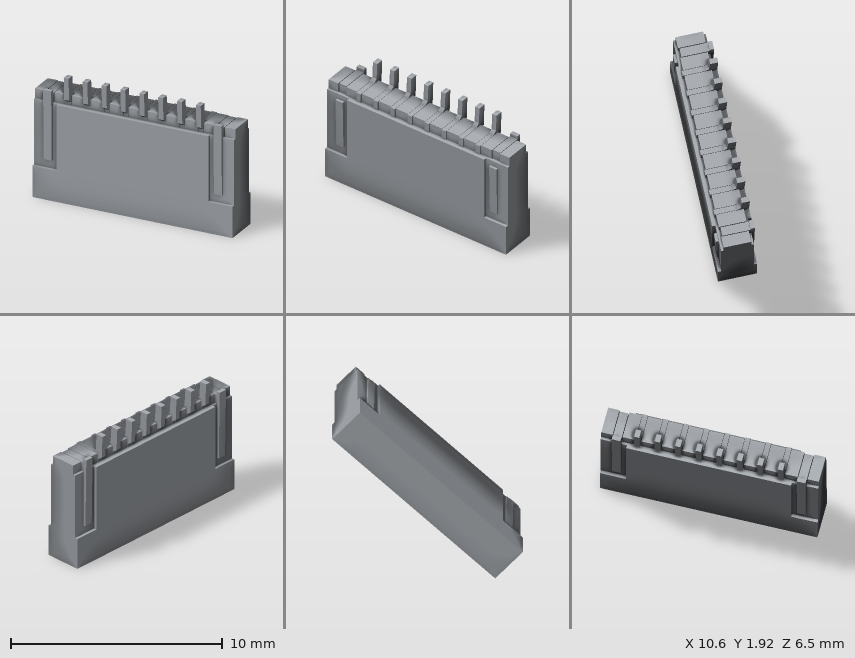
import cadquery as cq


length = 10.6
depth = 1.9
shoulder_height = 5.0
top_height = 5.5
top_front = 0.29
top_back = 1.62
pocket_width = 1.28
pocket_depth = 0.16
pocket_floor = 1.62

contact_count = 8
contact_row_span = 7.0
contact_pitch = contact_row_span / (contact_count - 1)
contact_width = 0.25
contact_slot_width = 0.29
contact_back = 1.7
contact_tip_height = 6.5
contact_tip_thickness = 0.39
contact_lean = 0.05
neck_top = 5.17
bend_rise = 0.17
bend_run = 0.18

clip_offset = 4.5
clip_width = 0.42
clip_slot_width = 0.49
clip_top = 5.66
clip_bottom = 2.06
clip_bar_front = 0.19
clip_bar_back = 1.56
clip_back_top = 4.71
clip_back_reach = 1.88
clip_taper = 0.06

front_overhang = 0.02


def box(x_center, width, y_range, z_range):
    """Block centred on x_center, spanning the given Y and Z ranges."""
    y_min, y_max = y_range
    z_min, z_max = z_range
    block = cq.Workplane("XY").box(width, y_max - y_min, z_max - z_min, centered=(True, False, False))
    return block.translate((x_center, y_min, z_min))


def side_profile(x_center, width, points):
    """Prism with a (Y, Z) outline, centred on x_center."""
    prism = cq.Workplane("YZ").polyline(points).close().extrude(width / 2, both=True)
    return prism.translate((x_center, 0, 0))


def housing():
    body = box(0, length, (0, depth), (0, shoulder_height))
    body = body.union(box(0, length, (top_front, top_back), (shoulder_height, top_height)))
    pocket_x = (length - pocket_width) / 2
    pocket_z = (pocket_floor, shoulder_height)
    for x in (-pocket_x, pocket_x):
        body = body.cut(box(x, pocket_width, (0, pocket_depth), pocket_z))
        body = body.cut(box(x, pocket_width, (depth - pocket_depth, depth), pocket_z))
    return body


def top_slot(x_center, width):
    return box(x_center, width, (top_front, top_back), (shoulder_height, top_height))


def contact(x_center):
    tip_front = -front_overhang
    tip_back = tip_front + contact_tip_thickness
    tail_front = tip_front + contact_lean
    tail_back = tip_back + contact_lean
    outline = [
        (top_front, shoulder_height),
        (top_front, neck_top),
        (tail_front, neck_top + bend_rise),
        (tip_front, contact_tip_height),
        (tip_back, contact_tip_height),
        (tail_back, top_height + bend_rise),
        (tail_back + bend_run, top_height),
        (contact_back, top_height),
        (contact_back, shoulder_height),
    ]
    return side_profile(x_center, contact_width, outline)


def clip(x_center):
    front_face = -front_overhang
    front_leg = [
        (front_face, clip_top),
        (clip_bar_front, clip_top),
        (clip_bar_front, clip_bottom),
        (front_face + clip_taper, clip_bottom),
    ]
    back_wall = depth - pocket_depth
    back_leg = [
        (back_wall, clip_back_top),
        (clip_back_reach, clip_back_top),
        (clip_back_reach - clip_taper, clip_bottom),
        (back_wall, clip_bottom),
    ]
    bar = box(x_center, clip_width, (clip_bar_front, clip_bar_back), (shoulder_height, top_height))
    legs = side_profile(x_center, clip_width, front_leg).union(side_profile(x_center, clip_width, back_leg))
    return bar.union(legs)


result = housing()

for index in range(contact_count):
    contact_x = index * contact_pitch - contact_row_span / 2
    result = result.cut(top_slot(contact_x, contact_slot_width)).union(contact(contact_x))

for clip_x in (-clip_offset, clip_offset):
    result = result.cut(top_slot(clip_x, clip_slot_width)).union(clip(clip_x))